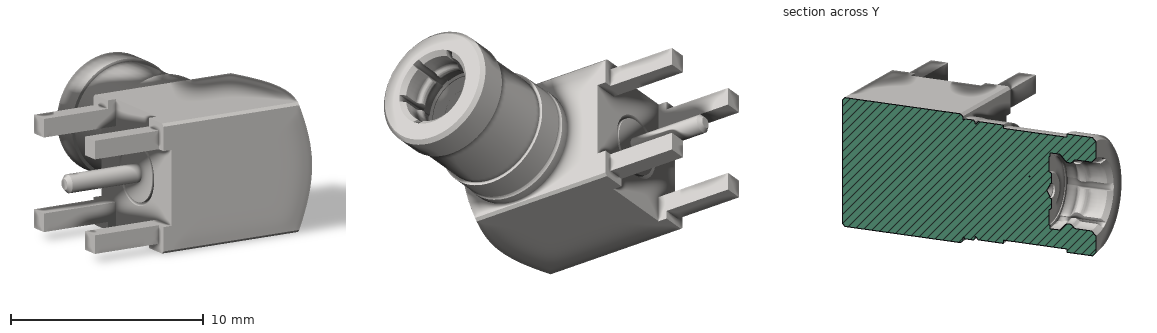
import cadquery as cq
import math


BLOCK = 7.0
HALF = BLOCK / 2
EDGE_CHAMFER = 0.15
FOOT_HEIGHT = 0.5
BACK_Y = 3.53
FOOT_Y = -5.57
SEAT_Y = FOOT_Y + FOOT_HEIGHT
DOME_FLAT_RADIUS = 3.4
DOME_ANGLE = 30

PIN_WIDTH = 1.0
PIN_TIP_Y = -9.47
LEG_CENTRE = 2.55
FOOT_INNER = LEG_CENTRE - PIN_WIDTH / 2
CENTRE_PIN_CHAMFER = 0.2

GROOVE_RADIUS = 1.75
PLUG_RADIUS = 1.56

OVERALL_LENGTH = 14.7
MOUTH_X = HALF - OVERALL_LENGTH
BARREL_LENGTH = -HALF - MOUTH_X
COLLAR_RADIUS = 3.22
COLLAR_CHAMFER = 0.2
WAIST_RADIUS = 3.05
WAIST_START = 1.69
WAIST_END = 5.35
COLLAR_END = 6.82
NECK_RADIUS = 3.05
FLANGE_RADIUS = 3.26
FLANGE_START = 7.0
FLANGE_CHAMFER = 0.1

SOCKET_RADIUS = 2.1
FINGER_RADIUS = 1.85
RIDGE_RADIUS = 1.65
FINGER_END = 1.23
RIDGE_START = FINGER_END + (FINGER_RADIUS - RIDGE_RADIUS)
RIDGE_END = 1.7
RIDGE_FILLET = 0.15
BACK_BORE_RADIUS = 2.05
FINGER_BACK = RIDGE_END + (BACK_BORE_RADIUS - RIDGE_RADIUS)
SHOULDER_DEPTH = 2.66
SOCKET_DEPTH = 2.7
SLOT_COUNT = 6
SLOT_WIDTH = 0.4

CONTACT_RADIUS = 1.03
CONTACT_LENGTH = 0.15
CONTACT_CHAMFER = 0.1
CONTACT_BORE_RADIUS = 0.4
CONTACT_BORE_DEPTH = 0.1
DRILL_RADIUS = 0.31
DRILL_HALF_ANGLE = 59


def turned(profile):
    """Revolve (distance from mouth, radius) points about the connector axis."""
    points = [(MOUTH_X + distance, radius) for distance, radius in profile]
    return cq.Workplane("XY").polyline(points).close().revolve(360, (0, 0, 0), (1, 0, 0))


def circle_at(distance):
    """Select the turned circle that lies at a distance from the mouth."""
    tolerance = 0.007
    x = MOUTH_X + distance
    low = (x - tolerance, -tolerance, -tolerance)
    high = (x + tolerance, tolerance, tolerance)
    return cq.selectors.BoxSelector(low, high)


def turned_about_y(profile):
    """Revolve (radius, y) points about the centre pin axis."""
    return cq.Workplane("XY").polyline(profile).close().revolve(360, (0, 0, 0), (0, 1, 0))


def box_between(x0, x1, y0, y1, z0, z1):
    size = (x1 - x0, y1 - y0, z1 - z0)
    return cq.Workplane("XY").box(*size, centered=False).translate((x0, y0, z0))


def make_block():
    block = box_between(-HALF, HALF, FOOT_Y, BACK_Y, -HALF, HALF)
    block = block.edges("|Y").chamfer(EDGE_CHAMFER)

    cone_reach = BLOCK
    cone_drop = (cone_reach - DOME_FLAT_RADIUS) * math.tan(math.radians(DOME_ANGLE))
    dome = turned_about_y([
        (0, FOOT_Y),
        (cone_reach, FOOT_Y),
        (cone_reach, BACK_Y - cone_drop),
        (DOME_FLAT_RADIUS, BACK_Y),
        (0, BACK_Y),
    ])
    block = block.intersect(dome)

    block = block.cut(box_between(-HALF, HALF, FOOT_Y, SEAT_Y, -FOOT_INNER, FOOT_INNER))
    return block.cut(box_between(-FOOT_INNER, FOOT_INNER, FOOT_Y, SEAT_Y, -HALF, HALF))


def make_plug_groove():
    groove_depth = GROOVE_RADIUS - PLUG_RADIUS
    return turned_about_y([
        (PLUG_RADIUS, SEAT_Y),
        (GROOVE_RADIUS, SEAT_Y),
        (PLUG_RADIUS, SEAT_Y + groove_depth),
    ])


def make_leg(x, z):
    half = PIN_WIDTH / 2
    return box_between(x - half, x + half, PIN_TIP_Y, SEAT_Y, z - half, z + half)


def make_centre_pin():
    radius = PIN_WIDTH / 2
    return turned_about_y([
        (0, 0),
        (radius, 0),
        (radius, PIN_TIP_Y + CENTRE_PIN_CHAMFER),
        (radius - CENTRE_PIN_CHAMFER, PIN_TIP_Y),
        (0, PIN_TIP_Y),
    ])


def make_barrel():
    return turned([
        (0, 0),
        (0, COLLAR_RADIUS - COLLAR_CHAMFER),
        (COLLAR_CHAMFER, COLLAR_RADIUS),
        (WAIST_START, COLLAR_RADIUS),
        (WAIST_START, WAIST_RADIUS),
        (WAIST_END, WAIST_RADIUS),
        (WAIST_END, COLLAR_RADIUS),
        (COLLAR_END, COLLAR_RADIUS),
        (FLANGE_START, NECK_RADIUS),
        (FLANGE_START, FLANGE_RADIUS - FLANGE_CHAMFER),
        (FLANGE_START + FLANGE_CHAMFER, FLANGE_RADIUS),
        (BARREL_LENGTH - FLANGE_CHAMFER, FLANGE_RADIUS),
        (BARREL_LENGTH, FLANGE_RADIUS - FLANGE_CHAMFER),
        (BARREL_LENGTH, 0),
    ])


def make_socket():
    mouth_chamfer = SOCKET_RADIUS - FINGER_RADIUS
    socket = turned([
        (0, 0),
        (0, SOCKET_RADIUS),
        (mouth_chamfer, FINGER_RADIUS),
        (FINGER_END, FINGER_RADIUS),
        (RIDGE_START, RIDGE_RADIUS),
        (RIDGE_END, RIDGE_RADIUS),
        (FINGER_BACK, BACK_BORE_RADIUS),
        (SHOULDER_DEPTH, BACK_BORE_RADIUS),
        (SHOULDER_DEPTH, FINGER_RADIUS),
        (SOCKET_DEPTH, FINGER_RADIUS),
        (SOCKET_DEPTH, 0),
    ])
    for distance in (FINGER_END, RIDGE_START, RIDGE_END):
        socket = socket.edges(circle_at(distance)).fillet(RIDGE_FILLET)

    full_bore = turned([
        (0, 0),
        (0, SOCKET_RADIUS),
        (SHOULDER_DEPTH, SOCKET_RADIUS),
        (SHOULDER_DEPTH, 0),
    ])
    half_slot = SLOT_WIDTH / 2
    slot = box_between(
        MOUTH_X, MOUTH_X + SHOULDER_DEPTH, 0, 2 * SOCKET_RADIUS, -half_slot, half_slot
    )
    for index in range(SLOT_COUNT):
        angle = index * 360 / SLOT_COUNT
        socket = socket.union(full_bore.intersect(slot.rotate((0, 0, 0), (1, 0, 0), angle)))
    return socket


def make_contact():
    tip = SOCKET_DEPTH - CONTACT_LENGTH
    return turned([
        (tip, 0),
        (tip, CONTACT_RADIUS - CONTACT_CHAMFER),
        (tip + CONTACT_CHAMFER, CONTACT_RADIUS),
        (SOCKET_DEPTH, CONTACT_RADIUS),
        (SOCKET_DEPTH, 0),
    ])


def make_contact_bore():
    tip = SOCKET_DEPTH - CONTACT_LENGTH
    bore_end = tip + CONTACT_BORE_DEPTH
    drill_point = DRILL_RADIUS / math.tan(math.radians(DRILL_HALF_ANGLE))
    return turned([
        (tip, 0),
        (tip, CONTACT_BORE_RADIUS),
        (bore_end, CONTACT_BORE_RADIUS),
        (bore_end, DRILL_RADIUS),
        (bore_end + drill_point, 0),
    ])


result = make_block().cut(make_plug_groove())
result = result.union(make_barrel().cut(make_socket()).union(make_contact()).cut(make_contact_bore()))
result = result.union(make_centre_pin())
for leg_x in (-LEG_CENTRE, LEG_CENTRE):
    for leg_z in (-LEG_CENTRE, LEG_CENTRE):
        result = result.union(make_leg(leg_x, leg_z))